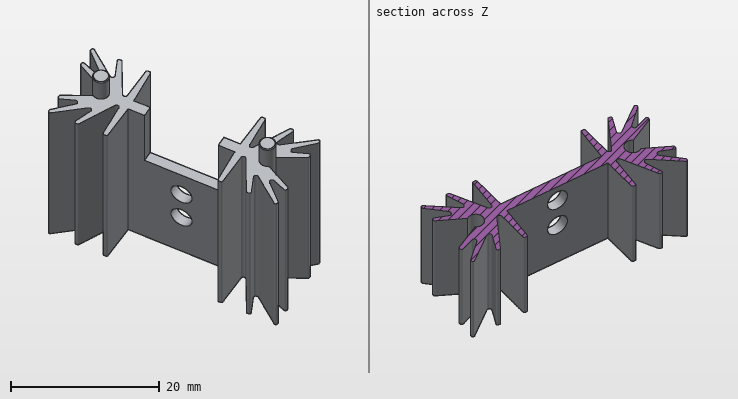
import cadquery as cq
import math

length = 34.92
depth = 12.7
body_height = 25.4
half_length = length / 2
half_depth = depth / 2

web_thickness = 1.6
notch_width = 11.25
notch_floor = 15.95
hole_diameter = 3.2
hole_heights = (7.1, 11.9)

pin_diameter = 2.3
pin_spacing = 25.42
pin_top = 28.9
pin_bottom = 16.9
pin_chamfer = 0.15

valley_radius = 0.35
tip_radius = 0.25
blend_radius = 0.1

quarter_corners = [
    (8.15, web_thickness / 2, 0),
    (8.4, half_depth, tip_radius),
    (9.1, half_depth, tip_radius),
    (9.4, 0, valley_radius),
    (12.85, half_depth, tip_radius),
    (13.55, half_depth, tip_radius),
    (11.98, 2.37, valley_radius),
    (17.1, half_depth, blend_radius),
    (half_length, half_depth, tip_radius),
    (half_length, 5.85, blend_radius),
    (13.48, 2.13, valley_radius),
    (half_length, 3.7, tip_radius),
    (half_length, 3.0, tip_radius),
    (11.65, 0, 0),
]


def unit_vector(start, end):
    distance = math.dist(start, end)
    return (end[0] - start[0]) / distance, (end[1] - start[1]) / distance


def corner_arc(before, corner, after, radius):
    """Return the start, middle and end of the arc that rounds a corner."""
    back = unit_vector(corner, before)
    ahead = unit_vector(corner, after)
    half_angle = math.acos(back[0] * ahead[0] + back[1] * ahead[1]) / 2
    tangent_length = radius / math.tan(half_angle)
    bisector = unit_vector((0, 0), (back[0] + ahead[0], back[1] + ahead[1]))
    middle_distance = radius / math.sin(half_angle) - radius

    def step(direction, distance):
        return corner[0] + direction[0] * distance, corner[1] + direction[1] * distance

    return step(back, tangent_length), step(bisector, middle_distance), step(ahead, tangent_length)


def fin_body():
    """Extrude the +X, +Y quarter and mirror it into the whole section."""
    points = [(x, y) for x, y, _ in quarter_corners]
    outline = cq.Workplane("XY").moveTo(0, 0).lineTo(0, web_thickness / 2)
    for index, (x, y, radius) in enumerate(quarter_corners):
        if radius == 0:
            outline = outline.lineTo(x, y)
            continue
        start, middle, end = corner_arc(points[index - 1], (x, y), points[index + 1], radius)
        outline = outline.lineTo(*start).threePointArc(middle, end)
    quarter = outline.close().extrude(body_height)
    half = quarter.union(quarter.mirror("XZ"))
    return half.union(half.mirror("YZ"))


def web_notch():
    notch_height = body_height - notch_floor
    return (
        cq.Workplane("XY", origin=(0, 0, notch_floor))
        .rect(notch_width, depth)
        .extrude(notch_height)
    )


def web_holes():
    return (
        cq.Workplane("XZ")
        .pushPoints([(0, height) for height in hole_heights])
        .circle(hole_diameter / 2)
        .extrude(web_thickness, both=True)
    )


def pin_cylinders(bottom, top):
    return (
        cq.Workplane("XY", origin=(0, 0, bottom))
        .pushPoints([(-pin_spacing / 2, 0), (pin_spacing / 2, 0)])
        .circle(pin_diameter / 2)
        .extrude(top - bottom)
    )


pins = pin_cylinders(pin_bottom, pin_top).faces(">Z").edges().chamfer(pin_chamfer)
open_bores = pin_cylinders(0, pin_bottom)

result = fin_body().cut(web_notch()).cut(web_holes()).cut(open_bores).union(pins)